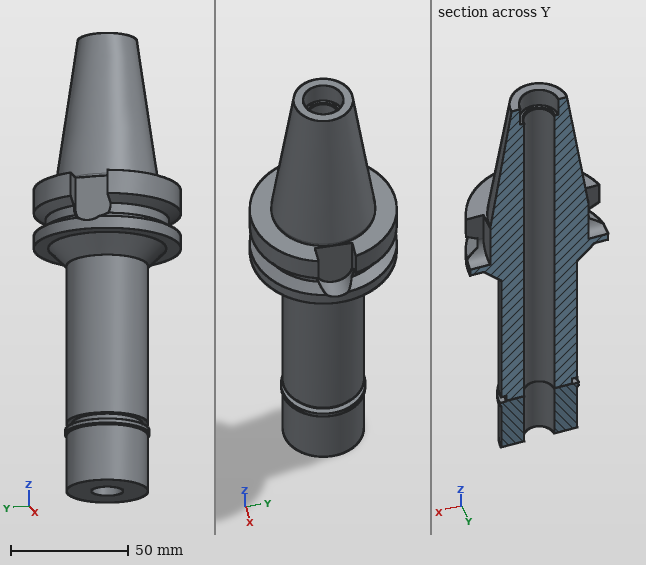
import cadquery as cq
import math

LENGTH = 200.5
TOP = LENGTH / 2
BOTTOM = -LENGTH / 2

TAPER_LENGTH = 65.3
TAPER_BASE_R = 22.2
TAPER_RATIO = 7 / 24
TAPER_TIP_R = TAPER_BASE_R - TAPER_LENGTH * TAPER_RATIO / 2
GAUGE_Z = TOP - TAPER_LENGTH

FLANGE_R = 31.5
FLANGE_GAP = 1.2
FLANGE_BOTTOM_OFFSET = 27.0
GROOVE_MIDDLE_OFFSET = 16.6
FLANGE_TOP = GAUGE_Z - FLANGE_GAP
FLANGE_BOTTOM = GAUGE_Z - FLANGE_BOTTOM_OFFSET
GROOVE_R = 26.5
GROOVE_FLOOR_HEIGHT = 4.5
GROOVE_MIDDLE = GAUGE_Z - GROOVE_MIDDLE_OFFSET
GROOVE_FLANK_ANGLE = 30
GROOVE_FLANK_HEIGHT = (FLANGE_R - GROOVE_R) * math.tan(math.radians(GROOVE_FLANK_ANGLE))
GROOVE_FLOOR_TOP = GROOVE_MIDDLE + GROOVE_FLOOR_HEIGHT / 2
GROOVE_FLOOR_BOTTOM = GROOVE_MIDDLE - GROOVE_FLOOR_HEIGHT / 2

SLOT_WIDTH = 16.2
SLOT_DEPTH = 22.0
SLOT_FLOOR_X = 22.5

SHANK_R = 17.5
CONE_HEIGHT = 7.8
CONE_TOP_R = SHANK_R + CONE_HEIGHT
NECK_R = 15.0
NECK_HEIGHT = 3.0

NUT_HEIGHT = 27.0
NUT_TOP = BOTTOM + NUT_HEIGHT
NUT_R = SHANK_R
RIM_R = 18.0
RIM_HEIGHT = 2.5
RIM_CHAMFER = RIM_R - NUT_R

BORE_R = 6.8
COUNTERBORE_R = 8.6
COUNTERBORE_DEPTH = 9.2
BORE_CHAMFER = 0.5


def revolve_profile(points):
    """Turn a closed (radius, z) outline about the Z axis."""
    return cq.Workplane("XZ").polyline(points).close().revolve(360, (0, 0, 0), (0, 1, 0))


def make_drive_slot():
    """Cutter for the +X slot: open at the flange top, with a half-round lower end."""
    radius = SLOT_WIDTH / 2
    bottom = FLANGE_TOP - SLOT_DEPTH
    return (
        cq.Workplane("YZ", origin=(SLOT_FLOOR_X, 0, 0))
        .moveTo(-radius, FLANGE_TOP)
        .lineTo(-radius, bottom + radius)
        .threePointArc((0, bottom), (radius, bottom + radius))
        .lineTo(radius, FLANGE_TOP)
        .close()
        .extrude(FLANGE_R - SLOT_FLOOR_X)
    )


def make_holder():
    """Taper, grooved flange, shank and neck, bored through from end to end."""
    holder = revolve_profile([
        (BORE_R, NUT_TOP),
        (NECK_R, NUT_TOP),
        (NECK_R, NUT_TOP + NECK_HEIGHT),
        (SHANK_R, NUT_TOP + NECK_HEIGHT),
        (SHANK_R, FLANGE_BOTTOM - CONE_HEIGHT),
        (CONE_TOP_R, FLANGE_BOTTOM),
        (FLANGE_R, FLANGE_BOTTOM),
        (FLANGE_R, GROOVE_FLOOR_BOTTOM - GROOVE_FLANK_HEIGHT),
        (GROOVE_R, GROOVE_FLOOR_BOTTOM),
        (GROOVE_R, GROOVE_FLOOR_TOP),
        (FLANGE_R, GROOVE_FLOOR_TOP + GROOVE_FLANK_HEIGHT),
        (FLANGE_R, FLANGE_TOP),
        (TAPER_BASE_R, FLANGE_TOP),
        (TAPER_BASE_R, GAUGE_Z),
        (TAPER_TIP_R, TOP),
        (COUNTERBORE_R, TOP),
        (COUNTERBORE_R, TOP - COUNTERBORE_DEPTH),
        (BORE_R + BORE_CHAMFER, TOP - COUNTERBORE_DEPTH),
        (BORE_R, TOP - COUNTERBORE_DEPTH - BORE_CHAMFER),
    ])
    slot = make_drive_slot()
    for angle in (0, 180):
        holder = holder.cut(slot.rotate((0, 0, 0), (0, 0, 1), angle))
    return holder


def make_nut():
    """Plain round nut with a chamfered rim and the through bore."""
    return revolve_profile([
        (BORE_R, BOTTOM),
        (NUT_R, BOTTOM),
        (NUT_R, NUT_TOP - RIM_HEIGHT),
        (RIM_R, NUT_TOP - RIM_HEIGHT + RIM_CHAMFER),
        (RIM_R, NUT_TOP),
        (BORE_R, NUT_TOP),
    ])


holder = make_holder()
nut = make_nut()

result = cq.Compound.makeCompound([holder.val(), nut.val()])